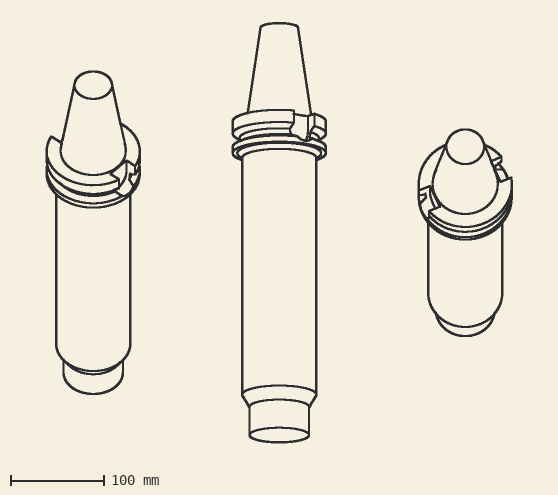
import cadquery as cq

total_height = 451.0

nose_diameter = 64.0
nose_height = 31.0
body_diameter = 80.0
body_bottom = 44.5

taper_ratio = 7 / 24
shank_diameter = 70.0
shank_length = 101.0
shank_base = total_height - shank_length
shank_tip_diameter = shank_diameter - shank_length * taper_ratio

flange_diameter = 100.0
flange_gap = 2.5
flange_top = shank_base - flange_gap
upper_rim_height = 13.5
upper_rim_bottom = flange_top - upper_rim_height
groove_diameter = 85.0
groove_top = 328.5
groove_bottom = 322.5
lower_rim_top = 318.5
lower_rim_bottom = 312.0
collar_diameter = 90.0
body_top = 306.5

slot_width = 26.0
slot_bottom = 315.0
slot_floor_offset = 35.5

profile_corners = [
    (nose_diameter, 0),
    (nose_diameter, nose_height),
    (body_diameter, body_bottom),
    (body_diameter, body_top),
    (collar_diameter, lower_rim_bottom),
    (flange_diameter, lower_rim_bottom),
    (flange_diameter, lower_rim_top),
    (groove_diameter, groove_bottom),
    (groove_diameter, groove_top),
    (flange_diameter, upper_rim_bottom),
    (flange_diameter, flange_top),
    (shank_diameter, flange_top),
    (shank_diameter, shank_base),
    (shank_tip_diameter, total_height),
]


def turned_body():
    """Revolve the profile about the Z axis."""
    outline = [(0, 0)]
    outline += [(diameter / 2, height) for diameter, height in profile_corners]
    outline.append((0, total_height))
    return cq.Workplane("XZ").polyline(outline).close().revolve(360, (0, 0), (0, 1))


def drive_slot(side):
    """Round-bottomed slot cutter, open at the top; side is -1 or +1 along X."""
    radius = slot_width / 2
    arc_center = slot_bottom + radius
    depth = flange_diameter / 2 - slot_floor_offset
    return (
        cq.Workplane("YZ", origin=(side * slot_floor_offset, 0, 0))
        .moveTo(-radius, flange_top)
        .lineTo(-radius, arc_center)
        .threePointArc((0, slot_bottom), (radius, arc_center))
        .lineTo(radius, flange_top)
        .close()
        .extrude(side * depth)
    )


result = turned_body()
for side in (-1, 1):
    result = result.cut(drive_slot(side))